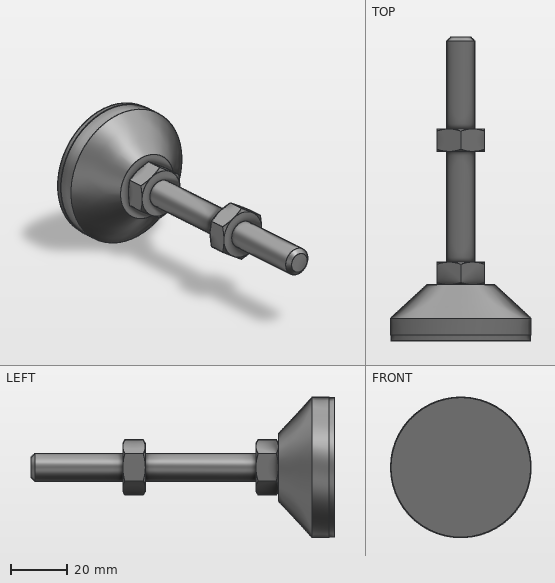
import cadquery as cq
import math

base_diameter = 50.0
pad_diameter = 49.6
pad_thickness = 2.0
rim_top = 8.0
base_height = 20.0
base_top_diameter = 24.0

total_length = 108.0
rod_diameter = 10.0
rod_tip_diameter = 7.0
rod_tip_length = 1.5

nut_sides = 6
nut_across_flats = 17.0
nut_height = 8.0
nut_chamfer_angle = 30.0
lower_nut_start = base_height
upper_nut_start = 67.3


def revolve_about_y(profile):
    """Revolve a closed (radius, y) outline, laid on the -X side, about the Y axis."""
    outline = [(-radius, y) for radius, y in profile]
    return cq.Workplane("XY").polyline(outline).close().revolve(360, (0, 0), (0, 1))


def make_pad():
    radius = pad_diameter / 2
    return revolve_about_y([(0, 0), (radius, 0), (radius, pad_thickness), (0, pad_thickness)])


def make_base():
    radius = base_diameter / 2
    return revolve_about_y([
        (0, pad_thickness),
        (radius, pad_thickness),
        (radius, rim_top),
        (base_top_diameter / 2, base_height),
        (0, base_height),
    ])


def make_rod():
    radius = rod_diameter / 2
    return revolve_about_y([
        (0, base_height),
        (radius, base_height),
        (radius, total_length - rod_tip_length),
        (rod_tip_diameter / 2, total_length),
        (0, total_length),
    ])


def make_nut(start):
    """Hex nut with corners on +Z and -Z and both faces chamfered from the inscribed circle."""
    face_radius = nut_across_flats / 2
    corner_radius = face_radius / math.cos(math.pi / nut_sides)
    chamfer_height = (corner_radius - face_radius) * math.tan(math.radians(nut_chamfer_angle))
    end = start + nut_height
    corner_angles = [2 * math.pi * i / nut_sides for i in range(nut_sides)]
    corners = [
        (corner_radius * math.sin(angle), corner_radius * math.cos(angle))
        for angle in corner_angles
    ]
    hexagon = (
        cq.Workplane("XZ", origin=(0, start, 0))
        .polyline(corners)
        .close()
        .extrude(-nut_height)
    )
    chamfer_envelope = revolve_about_y([
        (0, start),
        (face_radius, start),
        (corner_radius, start + chamfer_height),
        (corner_radius, end - chamfer_height),
        (face_radius, end),
        (0, end),
    ])
    return hexagon.intersect(chamfer_envelope)


result = make_pad().union(make_base()).union(make_rod())
for nut_start in (lower_nut_start, upper_nut_start):
    result = result.union(make_nut(nut_start))